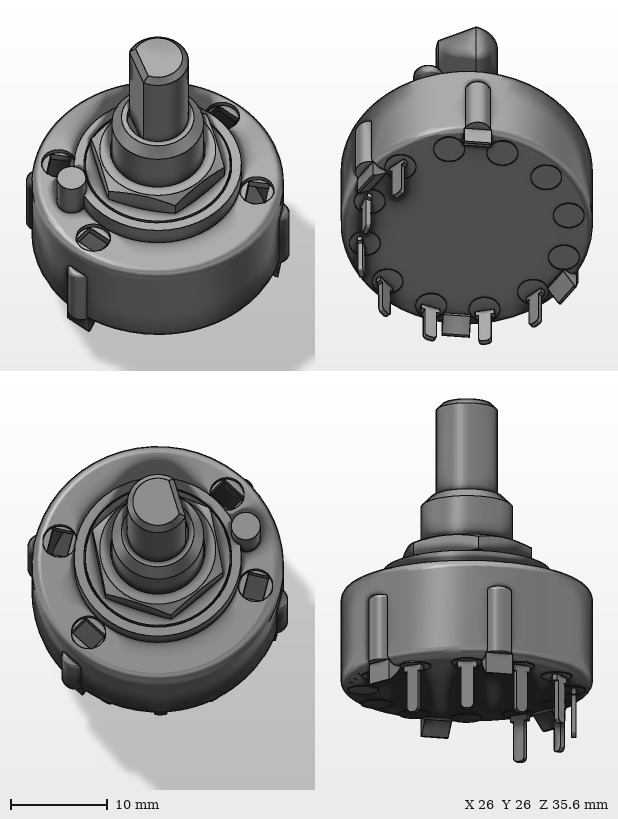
import cadquery as cq
import math


BODY_DIAMETER = 26.0
BODY_HEIGHT = 10.5
BODY_EDGE_RADIUS = 1.0
WALL = 1.3
COLLAR_DIAMETER = 17.3
COLLAR_HEIGHT = 2.05
COLLAR_BORE_DIAMETER = 15.3
COLLAR_BORE_DEPTH = 0.5

WASHER_DIAMETER = 15.0
WASHER_RISE = 0.1
NUT_HEIGHT = 2.4
NUT_CORNER_DIAMETER = 14.3
NUT_BORE_DIAMETER = 9.8
NUT_BEVEL_DIAMETER = 12.0
NUT_BEVEL_ANGLE = 26.0
NUT_TURN = -5.5
BUSHING_DIAMETER = 9.5
BUSHING_HEIGHT = 10.0
BUSHING_CHAMFER = 1.0

SHAFT_DIAMETER = 6.35
SHAFT_HEIGHT = 20.0
SHAFT_CHAMFER = 0.6
SHAFT_FLAT_OFFSET = 2.35
SHAFT_SEAT_DEPTH = 1.0

PEG_DIAMETER = 3.0
PEG_HEIGHT = 4.0
PEG_OFFSET = 9.5

LATCH_ANGLES = (60, 120, 240, 300)
RECESS_DIAMETER = 3.55
RECESS_DEPTH = 0.5
RECESS_CIRCLE_RADIUS = 10.4
SLOT_WIDTH = 2.15
RIB_DIAMETER = 2.82
RIB_CIRCLE_RADIUS = 12.36
RIB_BOTTOM = 0.45
RIB_TOP = 7.5
RIB_EDGE_RADIUS = 0.45
HOOK_OUTER_RADIUS = 12.85
HOOK_DROP = 1.7
HOOK_TIP_THICKNESS = 0.25
HOOK_ROOT_THICKNESS = 1.65
HOOK_LENGTH = 2.85

STATION_STEP = 30
STATION_COUNT = 12
FIRST_TERMINAL_ANGLE = 75
TERMINAL_COUNT = 7
TERMINAL_CIRCLE_RADIUS = 11.07
TERMINAL_THICKNESS = 0.5
TERMINAL_WIDTH = 1.3
TERMINAL_LENGTH = 5.1
TERMINAL_TIP_RADIUS = 0.5
SHOULDER_WIDTH = 2.0
SHOULDER_LENGTH = 0.75
PAD_DIAMETER = 3.2
PAD_HEIGHT = 0.1
PAD_CIRCLE_RADIUS = 10.7

EMBED = 1.0

COLLAR_TOP = BODY_HEIGHT + COLLAR_HEIGHT
WASHER_TOP = COLLAR_TOP + WASHER_RISE
NUT_TOP = WASHER_TOP + NUT_HEIGHT
BUSHING_TOP = BODY_HEIGHT + BUSHING_HEIGHT
SHAFT_TOP = BODY_HEIGHT + SHAFT_HEIGHT


def cylinder(diameter, bottom, top):
    """Upright cylinder on the Z axis between two heights."""
    return cq.Workplane("XY").workplane(offset=bottom).circle(diameter / 2).extrude(top - bottom)


def at_angle(shape, angle):
    """Turn a piece built on the +X side to its angle about Z."""
    return shape.rotate((0, 0, 0), (0, 0, 1), angle)


def make_body():
    body = cylinder(BODY_DIAMETER, 0, BODY_HEIGHT)
    return body.edges().fillet(BODY_EDGE_RADIUS)


def make_chamber():
    """Hollow inside the body, with one wall thickness left on every side."""
    return cylinder(BODY_DIAMETER - 2 * WALL, WALL, BODY_HEIGHT - WALL)


def make_collar():
    """Raised ring whose bore leaves a narrow groove around the washer."""
    collar = cylinder(COLLAR_DIAMETER, BODY_HEIGHT, COLLAR_TOP)
    bore = cylinder(COLLAR_BORE_DIAMETER, COLLAR_TOP - COLLAR_BORE_DEPTH, COLLAR_TOP)
    washer = cylinder(WASHER_DIAMETER, COLLAR_TOP - COLLAR_BORE_DEPTH, WASHER_TOP)
    return collar.cut(bore).union(washer)


def make_nut():
    """Hexagon nut with conical bevels above and below, clear of the bushing."""
    corner_radius = NUT_CORNER_DIAMETER / 2
    bevel_radius = NUT_BEVEL_DIAMETER / 2
    bore_radius = NUT_BORE_DIAMETER / 2
    bevel_drop = (corner_radius - bevel_radius) * math.tan(math.radians(NUT_BEVEL_ANGLE))
    hexagon = (
        cq.Workplane("XY")
        .workplane(offset=WASHER_TOP)
        .polygon(6, NUT_CORNER_DIAMETER)
        .extrude(NUT_HEIGHT)
    )
    bevel_envelope = (
        cq.Workplane("XZ")
        .moveTo(bore_radius, WASHER_TOP)
        .lineTo(bevel_radius, WASHER_TOP)
        .lineTo(corner_radius, WASHER_TOP + bevel_drop)
        .lineTo(corner_radius, NUT_TOP - bevel_drop)
        .lineTo(bevel_radius, NUT_TOP)
        .lineTo(bore_radius, NUT_TOP)
        .close()
        .revolve(360, (0, 0, 0), (0, 1, 0))
    )
    return at_angle(hexagon.intersect(bevel_envelope), NUT_TURN)


def make_bushing():
    bushing = cylinder(BUSHING_DIAMETER, BODY_HEIGHT, BUSHING_TOP)
    return bushing.faces(">Z").edges().chamfer(BUSHING_CHAMFER)


def shaft_flat_block(bottom):
    """Material in front of the flat on the -Y side of the shaft."""
    return (
        cq.Workplane("XY")
        .workplane(offset=bottom)
        .center(0, -SHAFT_FLAT_OFFSET - SHAFT_DIAMETER / 2)
        .rect(SHAFT_DIAMETER, SHAFT_DIAMETER)
        .extrude(SHAFT_TOP - bottom)
    )


def make_shaft():
    """D-shaped shaft chamfered around its whole top edge."""
    shaft = cylinder(SHAFT_DIAMETER, BUSHING_TOP - SHAFT_SEAT_DEPTH, SHAFT_TOP)
    shaft = shaft.cut(shaft_flat_block(BUSHING_TOP - SHAFT_SEAT_DEPTH))
    return shaft.faces(">Z").edges().chamfer(SHAFT_CHAMFER)


def shaft_seat():
    """Round bore in the bushing top that the D-shaped shaft stands in."""
    return cylinder(SHAFT_DIAMETER, BUSHING_TOP - SHAFT_SEAT_DEPTH, BUSHING_TOP)


def make_peg():
    peg = cylinder(PEG_DIAMETER, BODY_HEIGHT, BODY_HEIGHT + PEG_HEIGHT)
    return peg.translate((0, -PEG_OFFSET, 0))


def latch_recess():
    """Round recess in the body top with a narrower slot down into the chamber."""
    floor = BODY_HEIGHT - RECESS_DEPTH
    chamber_top = BODY_HEIGHT - WALL
    recess = cylinder(RECESS_DIAMETER, floor, BODY_HEIGHT)
    slot = cylinder(RECESS_DIAMETER, chamber_top, floor)
    slot_limits = (
        cq.Workplane("XY")
        .workplane(offset=chamber_top)
        .rect(SLOT_WIDTH, HOOK_LENGTH)
        .extrude(floor - chamber_top)
    )
    return recess.union(slot.intersect(slot_limits)).translate((RECESS_CIRCLE_RADIUS, 0, 0))


def latch_rib():
    """Half-round rib on the body side with a rounded top edge."""
    rib = cylinder(RIB_DIAMETER, RIB_BOTTOM, RIB_TOP)
    rib = rib.faces(">Z").edges().fillet(RIB_EDGE_RADIUS)
    return rib.translate((RIB_CIRCLE_RADIUS, 0, 0))


def latch_hook():
    """Hook under the rib, sloping inward from its tip up to the body."""
    tip_inner = HOOK_OUTER_RADIUS - HOOK_TIP_THICKNESS
    root_inner = HOOK_OUTER_RADIUS - HOOK_ROOT_THICKNESS
    slope_top = root_inner - tip_inner + HOOK_DROP
    return (
        cq.Workplane("XZ")
        .moveTo(HOOK_OUTER_RADIUS, RIB_BOTTOM)
        .lineTo(HOOK_OUTER_RADIUS, -HOOK_DROP)
        .lineTo(tip_inner, -HOOK_DROP)
        .lineTo(root_inner, -slope_top)
        .lineTo(root_inner, RIB_BOTTOM)
        .close()
        .extrude(HOOK_LENGTH / 2, both=True)
    )


def terminal():
    """Flat solder pin with a wide shoulder and a rounded tip."""
    blade_height = TERMINAL_LENGTH + EMBED
    blade = (
        cq.Workplane("XY")
        .box(TERMINAL_THICKNESS, TERMINAL_WIDTH, blade_height, centered=(True, True, False))
        .faces("<Z")
        .edges("|X")
        .fillet(TERMINAL_TIP_RADIUS)
        .translate((0, 0, -TERMINAL_LENGTH))
    )
    shoulder = (
        cq.Workplane("XY")
        .box(TERMINAL_THICKNESS, SHOULDER_WIDTH, SHOULDER_LENGTH + EMBED, centered=(True, True, False))
        .translate((0, 0, -SHOULDER_LENGTH))
    )
    return blade.union(shoulder).translate((TERMINAL_CIRCLE_RADIUS, 0, 0))


def terminal_pad():
    """Thin round pad under the body at one terminal station."""
    return cylinder(PAD_DIAMETER, -PAD_HEIGHT, EMBED).translate((PAD_CIRCLE_RADIUS, 0, 0))


result = make_body()

for latch_angle in LATCH_ANGLES:
    result = result.union(at_angle(latch_rib(), latch_angle))
    result = result.union(at_angle(latch_hook(), latch_angle))

result = result.cut(make_chamber())
for latch_angle in LATCH_ANGLES:
    result = result.cut(at_angle(latch_recess(), latch_angle))

for station in range(STATION_COUNT):
    station_angle = FIRST_TERMINAL_ANGLE + station * STATION_STEP
    result = result.union(at_angle(terminal_pad(), station_angle))
    if station < TERMINAL_COUNT:
        result = result.union(at_angle(terminal(), station_angle))

result = result.union(make_collar()).union(make_peg()).union(make_nut())
result = result.union(make_bushing().cut(shaft_seat())).union(make_shaft())